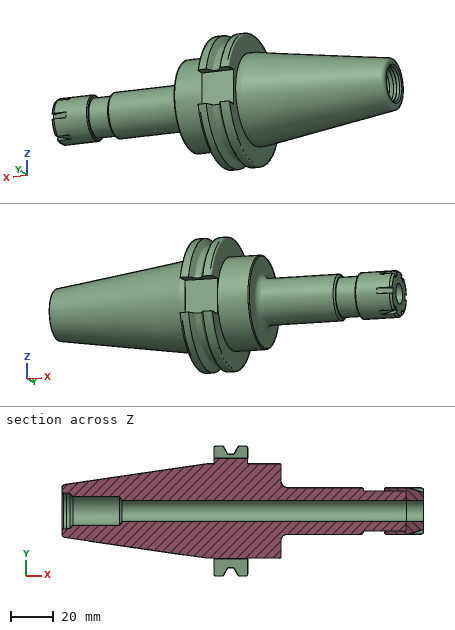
import cadquery as cq
import math

total_length = 169.8
taper_length = 68.3
flange_start = 71.3
flange_end = 87.3
hub_end = 103.0
stem_end = 141.7
nut_start = 151.5

gauge_diameter = 44.5
taper_ratio = 7 / 24
small_diameter = gauge_diameter - taper_length * taper_ratio
small_end_fillet = 1.7

flange_diameter = 63.4
flange_rim_fillet = 1.0
groove_center = 79.3
groove_width = 7.1
groove_floor_diameter = 56.0
groove_half_angle = 30.0
groove_root_fillet = 0.7

key_width = 16.8
near_key_floor = 22.5
far_key_floor = 24.8

hub_chamfer = 0.5
stem_diameter = 22.0
stem_root_fillet = 3.0
stem_end_chamfer = 0.8
nose_diameter = 19.0
nose_end = 161.7

mouth_diameter = 18.5
mouth_chamfer_length = 0.7
recess_diameter = 16.8
recess_end = 2.2
counterbore_diameter = 16.3
counterbore_end = 3.7
thread_diameter = 13.5
thread_end = 27.2
through_diameter = 9.7
drill_half_angle = 59.0

nut_diameter = 22.0
nut_back_chamfer = 0.5
nut_chamfer_length = 1.2
nut_chamfer_height = 0.7
wrench_slot_count = 6
wrench_slot_width = 2.7
wrench_slot_length = 7.5
wrench_slot_depth = 2.4


def revolve_about_x(profile):
    """Turn a profile of (x, radius) points, already closed, about the X axis."""
    return profile.revolve(360, (0, 0, 0), (1, 0, 0))


def cylinder_along_x(diameter, start, end):
    return cq.Workplane("YZ", origin=(start, 0, 0)).circle(diameter / 2).extrude(end - start)


def make_shank():
    """Taper followed by a short cylinder that reaches into the flange."""
    profile = (
        cq.Workplane("XY")
        .lineTo(0, small_diameter / 2)
        .lineTo(taper_length, gauge_diameter / 2)
        .lineTo(flange_end, gauge_diameter / 2)
        .lineTo(flange_end, 0)
        .close()
    )
    return revolve_about_x(profile).faces("<X").edges().fillet(small_end_fillet)


def make_groove_ring():
    """Ring of material removed by the gripper groove, rounded where walls meet floor."""
    outer = flange_diameter / 2
    floor = groove_floor_diameter / 2
    half_mouth = groove_width / 2
    half_floor = half_mouth - (outer - floor) * math.tan(math.radians(groove_half_angle))
    profile = (
        cq.Workplane("XY")
        .moveTo(groove_center - half_mouth, outer)
        .lineTo(groove_center - half_floor, floor)
        .lineTo(groove_center + half_floor, floor)
        .lineTo(groove_center + half_mouth, outer)
        .close()
    )
    floor_edges = cq.selectors.RadiusNthSelector(0)
    return revolve_about_x(profile).edges(floor_edges).fillet(groove_root_fillet)


def make_flange():
    """Flange ring with a V-shaped gripper groove and two drive key slots."""
    flange = cylinder_along_x(flange_diameter, flange_start, flange_end)
    flange = flange.edges("%CIRCLE").fillet(flange_rim_fillet).cut(make_groove_ring())
    for side, floor in ((-1, near_key_floor), (1, far_key_floor)):
        slot = cq.Workplane("XY").box(
            flange_end - flange_start, flange_diameter, key_width, centered=(False, True, True)
        )
        slot = slot.translate((flange_start, side * (floor + flange_diameter / 2), 0))
        flange = flange.cut(slot)
    return flange


def make_hub_and_stem():
    """Hub behind the flange, the slim stem and the nose that carries the nut."""
    hub = cylinder_along_x(gauge_diameter, flange_end, hub_end).faces(">X").edges().chamfer(hub_chamfer)
    stem_radius = stem_diameter / 2
    root_arc_middle = (
        hub_end + stem_root_fillet * (1 - math.sqrt(0.5)),
        stem_radius + stem_root_fillet * (1 - math.sqrt(0.5)),
    )
    stem_profile = (
        cq.Workplane("XY")
        .moveTo(hub_end, 0)
        .lineTo(hub_end, stem_radius + stem_root_fillet)
        .threePointArc(root_arc_middle, (hub_end + stem_root_fillet, stem_radius))
        .lineTo(stem_end - stem_end_chamfer, stem_radius)
        .lineTo(stem_end, stem_radius - stem_end_chamfer)
        .lineTo(stem_end, 0)
        .close()
    )
    stem = revolve_about_x(stem_profile)
    nose = cylinder_along_x(nose_diameter, stem_end, nose_end)
    return hub.union(stem).union(nose)


def make_bore():
    """Stepped bore: chamfered recess, counterbore with a 45 degree bottom, thread hole and through hole."""
    counterbore_cone = (counterbore_diameter - thread_diameter) / 2
    drill_cone = (thread_diameter - through_diameter) / 2 / math.tan(math.radians(drill_half_angle))
    profile = (
        cq.Workplane("XY")
        .lineTo(0, mouth_diameter / 2)
        .lineTo(mouth_chamfer_length, recess_diameter / 2)
        .lineTo(recess_end, recess_diameter / 2)
        .lineTo(recess_end, counterbore_diameter / 2)
        .lineTo(counterbore_end, counterbore_diameter / 2)
        .lineTo(counterbore_end + counterbore_cone, thread_diameter / 2)
        .lineTo(thread_end, thread_diameter / 2)
        .lineTo(thread_end + drill_cone, through_diameter / 2)
        .lineTo(nose_end, through_diameter / 2)
        .lineTo(nose_end, 0)
        .close()
    )
    return revolve_about_x(profile)


def make_holder():
    return make_shank().union(make_flange()).union(make_hub_and_stem()).cut(make_bore())


def make_nut():
    """Clamping nut that sits over the nose, with sloping wrench slots in its free end."""
    radius = nut_diameter / 2
    profile = (
        cq.Workplane("XY")
        .moveTo(nut_start, nose_diameter / 2)
        .lineTo(nut_start, radius - nut_back_chamfer)
        .lineTo(nut_start + nut_back_chamfer, radius)
        .lineTo(total_length - nut_chamfer_length, radius)
        .lineTo(total_length, radius - nut_chamfer_height)
        .lineTo(total_length, through_diameter / 2)
        .lineTo(nose_end, through_diameter / 2)
        .lineTo(nose_end, nose_diameter / 2)
        .close()
    )
    nut = revolve_about_x(profile)
    clear_height = nut_diameter
    slot = (
        cq.Workplane("XY")
        .moveTo(total_length - wrench_slot_length, radius)
        .lineTo(total_length, radius - wrench_slot_depth)
        .lineTo(total_length, clear_height)
        .lineTo(total_length - wrench_slot_length, clear_height)
        .close()
        .extrude(wrench_slot_width / 2, both=True)
    )
    for index in range(wrench_slot_count):
        angle = index * 360 / wrench_slot_count
        nut = nut.cut(slot.rotate((0, 0, 0), (1, 0, 0), angle))
    return nut


holder = make_holder()
nut = make_nut()

result = cq.Compound.makeCompound([holder.val(), nut.val()])